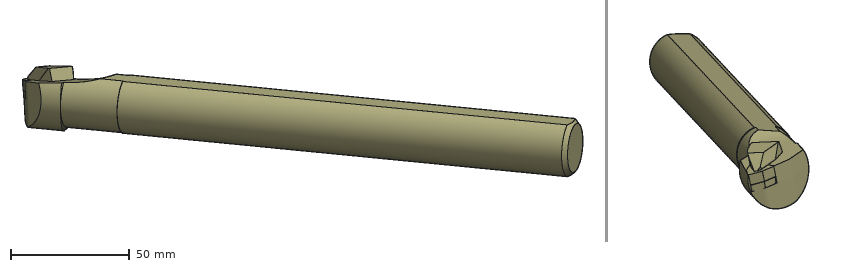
import cadquery as cq
import math


bar_length = 250.0
shank_diameter = 25.0
flat_height = 11.5
shank_start = 50.0
end_chamfer = 2.0
neck_diameter = 24.5

tip_reach = 17.0
head_radius = (tip_reach + neck_diameter / 2) / 2
head_offset = tip_reach - head_radius
head_length = 24.8

tip_height = 1.5
axial_tilt = 6.0
radial_tilt = 12.0
scoop_flat_length = 30.0
scoop_radius = 45.0
scoop_run_out = 30.0
scoop_height = 30.0

insert_circle = 9.5
insert_thickness = 4.8
nose_radius = 0.8
trigon_sides = 6
tip_angle = 80.0
tip_direction = 135.0
shim_thickness = 3.0
shim_inset = 0.2

front_relief = 1.0
corner_bevel = 1.2
flank_end = (7.0, -19.2)
flank_slope = 45.0
cut_margin = 50.0

clamp_height = 5.5
clamp_tip = (1.5, -3.2)
clamp_back_start = (9.5, -3.0)
clamp_back_middle = (17.0, -4.2)
clamp_back_end = (23.8, -7.5)
clamp_rear_left = (26.2, -13.5)
clamp_rear_right = (19.5, -19.5)
clamp_side_rear = (11.0, -14.2)
clamp_side_front = (3.0, -6.5)
clamp_direction = -32.0
clamp_nose_base = 4.0
clamp_nose_top = 11.5
clamp_rear_top = 23.5
clamp_rear_base = 25.0
clamp_side_drop = 5.0
clamp_side_setback = 1.2

axial_slope = math.tan(math.radians(axial_tilt))
radial_slope = math.tan(math.radians(radial_tilt))


def seat_plane(height=0.0):
    """Workplane parallel to the seat, lifted off it along its normal; the origin is the tip."""
    seat = cq.Plane(
        origin=(0, tip_reach, tip_height),
        xDir=(1, 0, axial_slope),
        normal=(-axial_slope, radial_slope, 1),
    )
    return cq.Workplane(seat).workplane(offset=height)


def seat_side(direction=0.0):
    """Workplane square to the seat: X runs along the seat at the given angle, Y is height above it."""
    seat = seat_plane().plane.rotated((0, 0, direction))
    return cq.Workplane(cq.Plane(origin=seat.origin, xDir=seat.xDir, normal=-seat.yDir))


def polar(radius, degrees):
    angle = math.radians(degrees)
    return radius * math.cos(angle), radius * math.sin(angle)


def shift(point, radius, degrees):
    dx, dy = polar(radius, degrees)
    return point[0] + dx, point[1] + dy


def heading(start, end):
    return math.degrees(math.atan2(end[1] - start[1], end[0] - start[0]))


insert_radius = insert_circle / 2
half_tip = math.radians(tip_angle / 2)
nose_centre = (nose_radius, -nose_radius)
insert_centre = shift(nose_centre, (insert_radius - nose_radius) / math.sin(half_tip), tip_direction - 180)


def trigon_corners(circle_radius):
    """Corners of the trigon, anticlockwise, the cutting tip first and sharp and blunt in turn."""
    sharp = circle_radius / math.sin(half_tip)
    blunt = circle_radius / math.sin(2 * half_tip)
    return [
        shift(insert_centre, sharp if i % 2 == 0 else blunt, tip_direction + i * 360 / trigon_sides)
        for i in range(trigon_sides)
    ]


def trigon(inset, top, thickness):
    """Trigon prism with rounded noses, reaching down from the given height above the seat."""
    prism = seat_plane(top).polyline(trigon_corners(insert_radius - inset)).close().extrude(-thickness)
    upright = cq.selectors.ParallelDirSelector(seat_plane().plane.zDir)
    edges = prism.edges(upright).vals()
    middle = seat_plane(top - thickness / 2).center(*insert_centre).plane.origin
    noses = sorted(edges, key=lambda edge: (edge.Center() - middle).Length)[trigon_sides // 2:]
    return prism.newObject(noses).fillet(nose_radius)


def bar_blank():
    """Shank with two flats, neck with one flat, and the offset head with a conical back."""
    shank = (
        cq.Workplane("YZ", origin=(shank_start, 0, 0))
        .circle(shank_diameter / 2)
        .extrude(bar_length - shank_start)
        .faces(">X")
        .chamfer(end_chamfer)
        .intersect(cq.Workplane("XY").box(2 * bar_length, shank_diameter, 2 * flat_height))
    )
    neck_radius = neck_diameter / 2
    neck = (
        cq.Workplane("YZ", origin=(head_length, 0, 0))
        .circle(neck_radius)
        .extrude(shank_start - head_length)
        .cut(
            cq.Workplane("XY", origin=(0, 0, flat_height))
            .box(bar_length, shank_diameter, shank_diameter, centered=(True, True, False))
        )
    )
    head_back = cq.Solid.makeCone(
        neck_radius + head_length, neck_radius, head_length, cq.Vector(0, 0, 0), cq.Vector(1, 0, 0)
    )
    head = (
        cq.Workplane("YZ", origin=(0, head_offset, 0))
        .circle(head_radius)
        .extrude(head_length)
        .intersect(cq.Workplane(head_back))
    )
    return head, neck.union(shank)


def front_outline():
    """Head outline on the seat: it follows the insert, then slopes back along the flank."""
    tip, blunt = trigon_corners(insert_radius - shim_inset)[:2]
    toward_blunt = heading(tip, blunt)
    toward_flank = heading(blunt, flank_end)
    return [
        shift(tip, -corner_bevel, toward_blunt),
        shift(blunt, -corner_bevel / 2, toward_blunt),
        shift(blunt, corner_bevel / 2, toward_flank),
        shift(flank_end, -corner_bevel / 2, toward_flank),
        shift(flank_end, corner_bevel / 2, -flank_slope),
        shift(flank_end, cut_margin, -flank_slope),
        (cut_margin, cut_margin),
        (tip[0], cut_margin),
    ]


def head_shape():
    """Space the head may fill: straight beside insert and shim, relieved below them."""
    depth = insert_thickness + shim_thickness
    upper = seat_plane().polyline(front_outline()).close().extrude(-depth)
    lower = seat_plane(-depth).polyline(front_outline()).close().extrude(-cut_margin, taper=front_relief)
    return upper.union(lower)


def scoop():
    """Chip space above the seat, running out upwards along an arc."""
    arc_mid = polar(scoop_radius, scoop_run_out / 2 - 90)
    arc_end = polar(scoop_radius, scoop_run_out - 90)
    return (
        seat_side()
        .moveTo(-cut_margin, 0)
        .lineTo(scoop_flat_length, 0)
        .threePointArc(
            (scoop_flat_length + arc_mid[0], scoop_radius + arc_mid[1]),
            (scoop_flat_length + arc_end[0], scoop_radius + arc_end[1]),
        )
        .lineTo(scoop_flat_length + arc_end[0], scoop_height)
        .lineTo(-cut_margin, scoop_height)
        .close()
        .extrude(cut_margin, both=True)
    )


def clamp():
    """Clamp finger: its outline on the seat, cut to a bevelled nose and a sloping rear end."""
    finger = (
        seat_plane()
        .moveTo(*clamp_tip)
        .lineTo(*clamp_back_start)
        .threePointArc(clamp_back_middle, clamp_back_end)
        .lineTo(*clamp_rear_left)
        .lineTo(*clamp_rear_right)
        .lineTo(*clamp_side_rear)
        .lineTo(*clamp_side_front)
        .close()
        .extrude(clamp_height)
    )
    side_middle = [(front + rear) / 2 for front, rear in zip(clamp_side_front, clamp_side_rear)]
    nose_side = seat_plane(clamp_height).plane.toWorldCoords(tuple(side_middle))
    finger = (
        finger.edges(cq.selectors.NearestToPointSelector(nose_side.toTuple()))
        .chamfer(clamp_side_drop, clamp_side_setback)
    )
    profile = (
        seat_side(clamp_direction)
        .moveTo(clamp_nose_base, 0)
        .lineTo(clamp_nose_top, clamp_height)
        .lineTo(clamp_rear_top, clamp_height)
        .lineTo(clamp_rear_base, 0)
        .close()
        .extrude(cut_margin, both=True)
    )
    return finger.intersect(profile)


def make_holder():
    """Bar with its chip space and insert pocket, a shim on the pocket floor, and the clamp."""
    head, bar = bar_blank()
    holder = head.intersect(head_shape()).union(bar).cut(scoop())
    holder = holder.cut(trigon(0, 0, insert_thickness + shim_thickness))
    holder = holder.union(trigon(shim_inset, -insert_thickness, shim_thickness))
    return holder.union(clamp())


def make_insert():
    """Insert lying on the shim, its top flush with the seat."""
    return trigon(0, 0, insert_thickness)


holder = make_holder()
insert = make_insert()
result = cq.Compound.makeCompound([holder.solids().val(), insert.solids().val()])